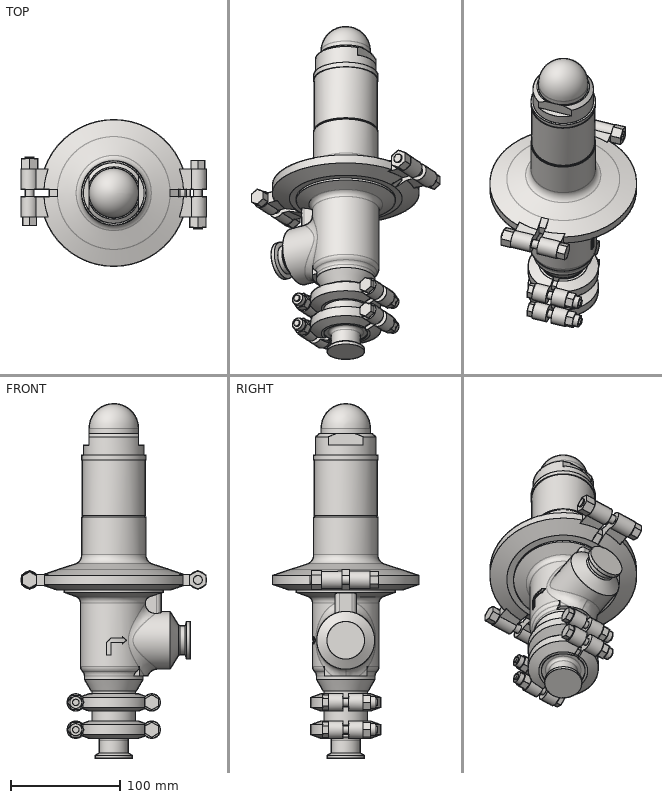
import cadquery as cq
import math

overall_height = 325.0

pipe_radius = 13.3
end_ferrule_radius = 17.05
end_ferrule_rim = 3.0
end_ferrule_height = 5.2
pipe_fillet = 3.0
inlet_hub_z = 19.5

spool_radius = 20.0
joint_radius = 25.2
joint_rim_half = 2.5
joint_root_half = 4.2
joint_heights = (26.3, 51.5)

cone_bottom_z = 61.8
cone_bottom_radius = 20.8
collar_radius = 27.0
collar_bottom_z = 72.5
collar_top_z = 75.7
body_radius = 30.5
body_bottom_z = 84.2
shoulder_mid_radius = 28.5
shoulder_mid_z = 79.5
body_top_z = 142.5
body_flare_radius = 33.8
body_flare_z = 148.0
body_flange_radius = 45.5
body_flange_z = 152.0

clamp_z = 163.5
clamp_radius = 67.3
clamp_rim_half = 4.05
clamp_inner_radius = 51.7
clamp_half_height = 9.5
flange_radius = 59.0
clamp_slot_half = 3.4
clamp_lug_end = 22.0
clamp_bolt_x = 77.0
lug_radius = 7.95
web_half_height = 5.2
web_inner_x = 58.5
main_bolt_radius = 4.05
main_bolt_tip = 32.8
main_head_end = 30.0
main_head_flats = 13.0
main_nut_end = 31.5
main_nut_flats = 15.0

joint_clamp_radius = 32.2
joint_clamp_rim = 4.5
joint_face_radius = 22.5
joint_half_height = 8.0
joint_slot_half = 2.5
joint_lug_end = 16.0
joint_bolt_x = 34.8
joint_bolt_radius = 3.5
joint_head_end = 21.0
joint_hex_flats = 12.0
joint_nut_end = 22.8
joint_nut_flats = 13.0
joint_collar_radius = 5.5
joint_collar_end = 27.5
joint_tip_radius = 3.0
joint_bolt_tip = 29.2

bonnet_root_radius = 34.5
bonnet_root_z = 178.5
bonnet_fillet_mid = (31.0, 181.7)
bonnet_radius = 29.5
bonnet_bottom_z = 186.5
bonnet_top_z = 221.0
seam_groove_radius = 28.5
seam_groove_height = 1.3
case_radius = 29.0
case_top_z = 273.3
ring_height = 4.5
cap_radius = 27.8
cap_edge_z = 294.5
cap_top_radius = 24.0
cap_top_z = 297.7
dome_radius = 22.8
cap_flat_x = 22.8
cap_flat_z = 287.0

outlet_z = 108.2
outlet_radius = 26.5
outlet_shoulder_x = 51.7
outlet_neck_x = 59.0
outlet_neck_radius = 14.3
outlet_neck_taper = 1.5
outlet_ferrule_x = 65.3
outlet_ferrule_rim_x = 66.5
outlet_ferrule_radius = 17.2
outlet_end_x = 70.2
outlet_blend = 9.8
blend_bottom_z = 75.7
blend_foot_half_width = 19.5

rib_half_width = 9.8
rib_end_x = 43.5
rib_end_rounding = 4.2
rib_top_z = 151.8

arrow_left = -6.5
arrow_bottom = 95.0
arrow_width = 4.0
arrow_bend = 4.0
arrow_neck_x = 7.8
arrow_tip_x = 11.7
arrow_head_half = 3.2
arrow_depth = 0.5


def bolt_hex(size, start, length, corner_up):
    """Hexagon prism along -Y from y = -start; size is across flats."""
    prism = cq.Workplane("XZ").polygon(6, size / math.cos(math.pi / 6)).extrude(length)
    turn = 30 if corner_up else 0
    return prism.rotate((0, 0, 0), (0, 1, 0), turn).translate((0, -start, 0))


def rod(radius, y_low, y_high):
    """Round bar along Y."""
    return cq.Workplane("XZ", origin=(0, y_high, 0)).circle(radius).extrude(y_high - y_low)


def valve_core():
    """Turned shape of the valve, from the inlet ferrule to the dome."""
    clamp_top = clamp_z + clamp_half_height
    clamp_bottom = clamp_z - clamp_half_height
    ring_top_z = case_top_z + ring_height
    diagonal = math.sqrt(0.5)
    profile = (
        cq.Workplane("XZ")
        .moveTo(0, 0)
        .lineTo(end_ferrule_radius, 0)
        .lineTo(end_ferrule_radius, end_ferrule_rim)
        .lineTo(pipe_radius, end_ferrule_height)
        .lineTo(pipe_radius, inlet_hub_z - pipe_fillet)
        .threePointArc(
            (pipe_radius + pipe_fillet * (1 - diagonal), inlet_hub_z - pipe_fillet * (1 - diagonal)),
            (pipe_radius + pipe_fillet, inlet_hub_z),
        )
        .lineTo(spool_radius, inlet_hub_z)
    )
    for z in joint_heights:
        profile = (
            profile.lineTo(spool_radius, z - joint_root_half)
            .lineTo(joint_radius, z - joint_rim_half)
            .lineTo(joint_radius, z + joint_rim_half)
            .lineTo(spool_radius, z + joint_root_half)
        )
    profile = (
        profile.lineTo(spool_radius, cone_bottom_z)
        .lineTo(cone_bottom_radius, cone_bottom_z)
        .lineTo(collar_radius, collar_bottom_z)
        .lineTo(collar_radius, collar_top_z)
        .tangentArcPoint((shoulder_mid_radius, shoulder_mid_z), relative=False)
        .tangentArcPoint((body_radius, body_bottom_z), relative=False)
        .lineTo(body_radius, body_top_z)
        .tangentArcPoint((body_flare_radius, body_flare_z), relative=False)
        .lineTo(body_flange_radius, body_flange_z)
        .lineTo(body_flange_radius, clamp_bottom)
        .lineTo(clamp_inner_radius, clamp_bottom)
        .lineTo(flange_radius, clamp_z - clamp_rim_half)
        .lineTo(flange_radius, clamp_z + clamp_rim_half)
        .lineTo(clamp_inner_radius, clamp_top)
        .lineTo(bonnet_root_radius, bonnet_root_z)
        .threePointArc(bonnet_fillet_mid, (bonnet_radius, bonnet_bottom_z))
        .lineTo(bonnet_radius, bonnet_top_z)
        .lineTo(seam_groove_radius, bonnet_top_z)
        .lineTo(seam_groove_radius, bonnet_top_z + seam_groove_height)
        .lineTo(case_radius, bonnet_top_z + seam_groove_height)
        .lineTo(case_radius, case_top_z)
        .lineTo(bonnet_radius, case_top_z)
        .lineTo(bonnet_radius, ring_top_z)
        .lineTo(cap_radius, ring_top_z)
        .lineTo(cap_radius, cap_edge_z)
        .lineTo(cap_top_radius, cap_top_z)
        .lineTo(dome_radius, cap_top_z)
        .lineTo(dome_radius, overall_height - dome_radius)
        .threePointArc(
            (dome_radius * diagonal, overall_height - dome_radius * (1 - diagonal)), (0, overall_height)
        )
        .close()
    )
    return profile.revolve(360, (0, 0, 0), (0, 1, 0))


def outlet():
    """Side branch along +X with its cone, neck and ferrule."""
    return (
        cq.Workplane("XZ")
        .moveTo(0, 0)
        .lineTo(0, outlet_radius)
        .lineTo(outlet_shoulder_x, outlet_radius)
        .lineTo(outlet_neck_x, outlet_neck_radius)
        .lineTo(outlet_neck_x + outlet_neck_taper, pipe_radius)
        .lineTo(outlet_ferrule_x, pipe_radius)
        .lineTo(outlet_ferrule_rim_x, outlet_ferrule_radius)
        .lineTo(outlet_end_x, outlet_ferrule_radius)
        .lineTo(outlet_end_x, 0)
        .close()
        .revolve(360, (0, 0, 0), (1, 0, 0))
        .translate((0, 0, outlet_z))
    )


def valve_with_outlet():
    """Valve core with the side outlet and a blend that runs down onto the collar."""
    wall = cq.Workplane("XY").circle(body_radius).extrude(body_top_z + body_radius)
    branch = wall.union(outlet()).edges("%BSPLINE").fillet(outlet_blend)
    keep = cq.Workplane("XY", origin=(0, 0, blend_bottom_z))
    keep_length = body_top_z - blend_bottom_z + outlet_blend
    upper = keep.box(outlet_end_x, 2 * body_radius, keep_length, centered=(False, True, False))
    lower = keep.box(
        outlet_end_x, 2 * blend_foot_half_width, body_bottom_z - blend_bottom_z, centered=(False, True, False)
    )
    foot = branch.intersect(lower)
    return valve_core().union(branch.cut(wall).intersect(upper)).union(foot)


def rib():
    """Block in the corner between the outlet and the body flange, rounded at its outer end."""
    block = cq.Workplane("XY", origin=(0, 0, outlet_z)).moveTo(rib_end_x / 2, 0)
    block = block.rect(rib_end_x, 2 * rib_half_width).extrude(rib_top_z - outlet_z)
    return block.edges("|Z and >X").fillet(rib_end_rounding)


def cap_flats():
    """Stock removed to leave a pair of wrench flats on the cap."""
    height = overall_height - cap_flat_z
    depth = 2 * cap_radius
    side = cq.Workplane("XY").box(cap_radius, depth, height, centered=(False, True, False))
    side = side.translate((cap_flat_x, 0, cap_flat_z))
    return side.union(side.mirror("YZ"))


def flow_arrow():
    """Shallow bent arrow in the front of the body, pointing at the outlet."""
    half = arrow_width / 2
    outline = (
        cq.Workplane("XZ")
        .moveTo(arrow_left, arrow_bottom)
        .lineTo(arrow_left + arrow_width, arrow_bottom)
        .lineTo(arrow_left + arrow_width, outlet_z - half)
        .lineTo(arrow_neck_x, outlet_z - half)
        .lineTo(arrow_neck_x, outlet_z - arrow_head_half)
        .lineTo(arrow_tip_x, outlet_z)
        .lineTo(arrow_neck_x, outlet_z + arrow_head_half)
        .lineTo(arrow_neck_x, outlet_z + half)
        .lineTo(arrow_left + arrow_bend, outlet_z + half)
        .lineTo(arrow_left, outlet_z + half - arrow_bend)
        .close()
        .extrude(2 * body_radius)
    )
    floor = cq.Workplane("XY").circle(body_radius - arrow_depth).extrude(overall_height)
    return outline.cut(floor)


def clamp_ring(bore, face_radius, radius, half_height, rim_half, slot_half):
    """Ring with bevelled faces, split by a slot on the +X and -X sides; centred on z = 0."""
    ring = (
        cq.Workplane("XZ")
        .polyline(
            [
                (bore, -half_height),
                (face_radius, -half_height),
                (radius, -rim_half),
                (radius, rim_half),
                (face_radius, half_height),
                (bore, half_height),
            ]
        )
        .close()
        .revolve(360, (0, 0, 0), (0, 1, 0))
    )
    slot = cq.Workplane("XY").box(2 * radius + 3.2, 2 * slot_half, 2 * half_height)
    return ring.cut(slot)


def lug_pair(slot_half, lug_end):
    """Two round lugs along Y, one on each side of the slot."""
    return rod(lug_radius, slot_half, lug_end).union(rod(lug_radius, -lug_end, -slot_half))


def main_bolt():
    """Bolt with its head at +Y and its nut at -Y."""
    bolt = rod(main_bolt_radius, -main_bolt_tip, clamp_lug_end)
    head_length = main_head_end - clamp_lug_end
    nut_length = main_nut_end - clamp_lug_end
    bolt = bolt.union(bolt_hex(main_head_flats, -main_head_end, head_length, True))
    return bolt.union(bolt_hex(main_nut_flats, clamp_lug_end, nut_length, True))


def joint_bolt():
    """Bolt with its head at +Y and a collared nut at -Y."""
    bolt = rod(joint_bolt_radius, -joint_nut_end, joint_lug_end)
    head_length = joint_head_end - joint_lug_end
    nut_length = joint_nut_end - joint_lug_end
    bolt = bolt.union(bolt_hex(joint_hex_flats, -joint_head_end, head_length, True))
    bolt = bolt.union(bolt_hex(joint_nut_flats, joint_lug_end, nut_length, False))
    bolt = bolt.union(rod(joint_collar_radius, -joint_collar_end, -joint_nut_end))
    return bolt.union(rod(joint_tip_radius, -joint_bolt_tip, -joint_collar_end))


def on_both_sides(part):
    """The part and its copy turned half way round Z."""
    return part.union(part.rotate((0, 0, 0), (0, 0, 1), 180))


def main_clamp():
    """Clamp ring on the large flange, with webs, lugs and bolts at +X and -X."""
    ring = clamp_ring(
        body_flange_radius, clamp_inner_radius, clamp_radius, clamp_half_height, clamp_rim_half, clamp_slot_half
    )
    fastener = lug_pair(clamp_slot_half, clamp_lug_end).union(main_bolt())
    web_length = clamp_bolt_x - web_inner_x
    web = cq.Workplane("XY").box(web_length, 2 * clamp_lug_end, 2 * web_half_height)
    web = web.cut(cq.Workplane("XY").box(web_length, 2 * clamp_slot_half, 2 * web_half_height))
    web = web.translate((web_inner_x + web_length / 2, 0, 0))
    side = web.union(fastener.translate((clamp_bolt_x, 0, 0)))
    return ring.union(on_both_sides(side)).translate((0, 0, clamp_z))


def joint_clamp(z, core):
    """Clamp around one lower joint, with a groove that fits the joint's ferrules."""
    ring = clamp_ring(
        spool_radius, joint_face_radius, joint_clamp_radius, joint_half_height, joint_clamp_rim, joint_slot_half
    )
    side = lug_pair(joint_slot_half, joint_lug_end).union(joint_bolt()).translate((-joint_bolt_x, 0, 0))
    return ring.union(on_both_sides(side)).translate((0, 0, z)).cut(core)


valve = valve_with_outlet().union(rib()).cut(cap_flats()).cut(flow_arrow()).union(main_clamp())
joint_clamps = [joint_clamp(z, valve) for z in joint_heights]

result = cq.Compound.makeCompound([valve.val(), *[clamp.val() for clamp in joint_clamps]])